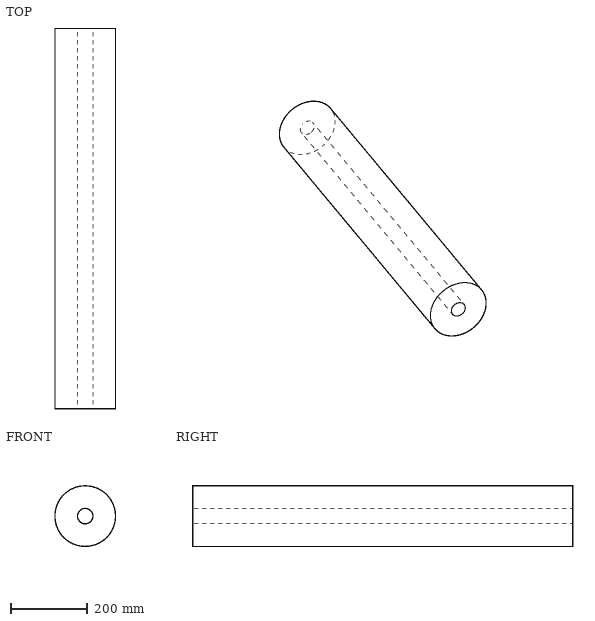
import cadquery as cq

length = 1000.0
outer_diameter = 160.0
bore_diameter = 40.0

result = (
    cq.Workplane("XZ", origin=(0, length / 2, 0))
    .circle(outer_diameter / 2)
    .circle(bore_diameter / 2)
    .extrude(length)
)